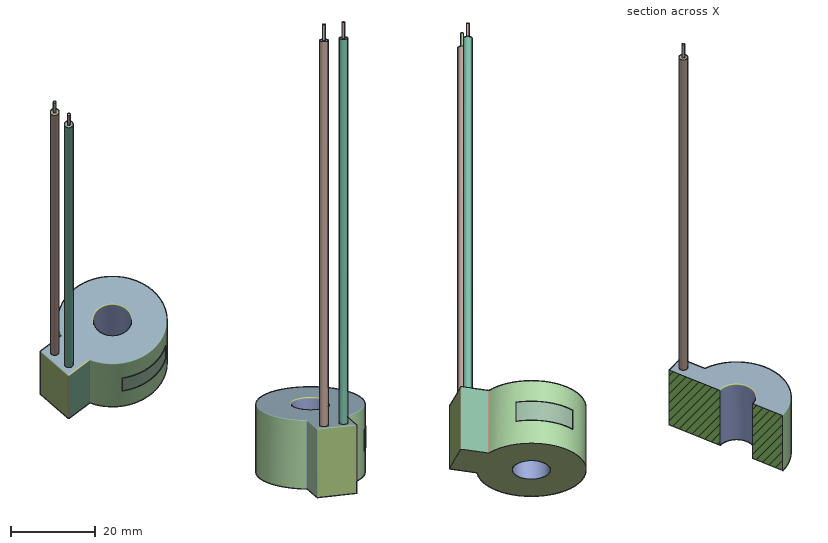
import cadquery as cq

ring_diameter = 26.0
ring_radius = ring_diameter / 2
bore_diameter = 9.0
housing_height = 17.1
edge_radius = 0.2

overall_depth = 31.8
block_width = 10.1
block_length = overall_depth - ring_radius

overall_height = 117.0
lead_spacing = 4.9
lead_inset = 2.5
lead_y = lead_inset - block_length
insulation_diameter = 2.1
conductor_diameter = 0.7
stripped_length = 4.0
insulation_top = overall_height - stripped_length
lead_root = housing_height / 2

overall_width = 26.1
label_thickness = overall_width - ring_diameter
label_width = 14.0
label_height = 5.1
label_middle = 8.8


def cylinder(diameter, bottom, top):
    return cq.Workplane("XY").workplane(offset=bottom).circle(diameter / 2).extrude(top - bottom)


def make_housing():
    ring = cylinder(ring_diameter, 0, housing_height)
    block = cq.Workplane("XY").box(block_width, block_length, housing_height, centered=(True, False, False))
    body = ring.union(block.translate((0, -block_length, 0)))
    body = body.edges("|Z and (not >Y)").fillet(edge_radius)
    body = body.cut(cylinder(bore_diameter, 0, housing_height))
    return body.faces(">Z").edges().fillet(edge_radius)


def make_label():
    window_length = ring_radius + label_thickness - bore_diameter / 2
    window = cq.Workplane("XY").box(window_length, label_width, label_height, centered=(False, True, True))
    window = window.translate((bore_diameter / 2, 0, label_middle))
    return window.intersect(cylinder(ring_diameter + 2 * label_thickness, 0, housing_height))


def make_lead(x):
    insulation = cylinder(insulation_diameter, lead_root, insulation_top)
    conductor = cylinder(conductor_diameter, lead_root, overall_height)
    return insulation.union(conductor).translate((x, lead_y, 0))


result = make_housing().union(make_label())
for side in (-1, 1):
    result = result.union(make_lead(side * lead_spacing / 2))